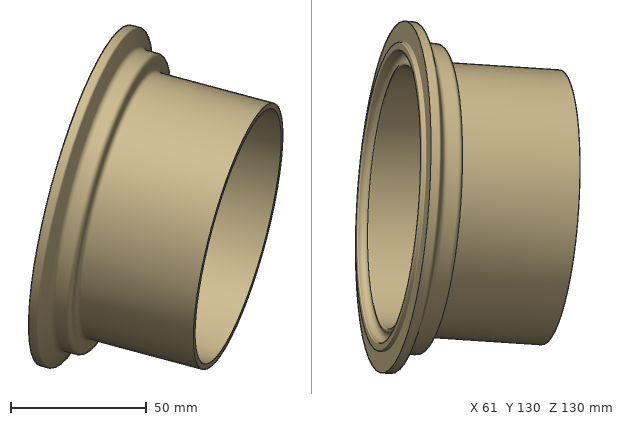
import cadquery as cq
import math


length = 61.0
flange_radius = 130.0 / 2
lip_radius = 114.2 / 2
collar_radius = 115.0 / 2
tube_radius = 101.6 / 2
bore_radius = 97.38 / 2

lip_height = 1.65
lip_rounding = 0.4
flange_shoulder_x = 5.4
flange_rounding = 0.8
cone_angle = math.radians(20)
cone_root_fillet = 2.0

collar_end_x = 15.5
collar_rounding = 1.6
tube_fillet = 1.5

groove_mouth_radius = 54.5
groove_radius = 2.5
mouth_rounding = 0.4
crest_x = 2.8
crest_rounding = 1.4
bore_rounding = 0.5


def tangent_circle_center(center_a, radius_a, center_b, radius_b, radius):
    """Center, on the -X side, of the circle that touches circles a and b from outside."""
    reach_a = radius_a + radius
    reach_b = radius_b + radius
    dx = center_b[0] - center_a[0]
    dr = center_b[1] - center_a[1]
    gap = math.hypot(dx, dr)
    along = (reach_a**2 - reach_b**2 + gap**2) / (2 * gap)
    across = math.sqrt(reach_a**2 - along**2)
    return (
        center_a[0] + (along * dx - across * dr) / gap,
        center_a[1] + (along * dr + across * dx) / gap,
    )


def point_toward(start, target, distance):
    """Point at a distance from start on the line to target."""
    span = math.dist(start, target)
    return tuple(s + (t - s) * distance / span for s, t in zip(start, target))


def arc_to(profile, center, radius, end):
    """Add the shorter arc about center from the profile's current point to end."""
    start = profile.val().endPoint()
    middle = ((start.x + end[0]) / 2, (start.y + end[1]) / 2)
    return profile.threePointArc(point_toward(center, middle, radius), end)


def add_flange(profile):
    """Lip, rim, back cone and collar, from the sealing face out to the tube."""
    lip_center = (lip_rounding, lip_radius - lip_rounding)
    profile = profile.moveTo(0, groove_mouth_radius).lineTo(0, lip_center[1])
    profile = arc_to(profile, lip_center, lip_rounding, (lip_rounding, lip_radius))

    root_center = (lip_height - lip_rounding, lip_radius + lip_rounding)
    profile = profile.lineTo(root_center[0], lip_radius)
    profile = arc_to(profile, root_center, lip_rounding, (lip_height, root_center[1]))

    setback = flange_rounding * math.tan((math.pi / 2 - cone_angle) / 2)
    rim_center = (flange_shoulder_x - setback, flange_radius - flange_rounding)
    normal = (math.cos(cone_angle), math.sin(cone_angle))
    rim_end = (
        rim_center[0] + flange_rounding * normal[0],
        rim_center[1] + flange_rounding * normal[1],
    )
    profile = profile.lineTo(lip_height, flange_radius).lineTo(rim_center[0], flange_radius)
    profile = arc_to(profile, rim_center, flange_rounding, rim_end)

    root_radius = collar_radius + cone_root_fillet
    cone_end_radius = root_radius - cone_root_fillet * normal[1]
    cone_end_x = rim_end[0] + (rim_end[1] - cone_end_radius) * math.tan(cone_angle)
    root_center = (cone_end_x + cone_root_fillet * normal[0], root_radius)
    profile = profile.lineTo(cone_end_x, cone_end_radius)
    profile = arc_to(profile, root_center, cone_root_fillet, (root_center[0], collar_radius))

    collar_center = (collar_end_x - collar_rounding, collar_radius - collar_rounding)
    profile = profile.lineTo(collar_center[0], collar_radius)
    profile = arc_to(profile, collar_center, collar_rounding, (collar_end_x, collar_center[1]))
    fillet_center = (collar_end_x + tube_fillet, tube_radius + tube_fillet)
    profile = profile.lineTo(collar_end_x, fillet_center[1])
    return arc_to(profile, fillet_center, tube_fillet, (fillet_center[0], tube_radius))


def add_tube(profile):
    """Plain tube outside, its end and the bore back to the crest."""
    profile = profile.lineTo(length, tube_radius).lineTo(length, bore_radius)
    return profile.lineTo(crest_x + bore_rounding, bore_radius)


def add_groove(profile):
    """Rounded crest, gasket groove and rounded groove mouth."""
    crest_radius = bore_radius + bore_rounding
    bore_center = (crest_x + bore_rounding, crest_radius)
    crest_center = (crest_x + crest_rounding, crest_radius)
    mouth_center = (mouth_rounding, groove_mouth_radius)
    groove_center = tangent_circle_center(
        crest_center, crest_rounding, mouth_center, mouth_rounding, groove_radius
    )
    groove_start = point_toward(crest_center, groove_center, crest_rounding)
    groove_end = point_toward(mouth_center, groove_center, mouth_rounding)
    profile = arc_to(profile, bore_center, bore_rounding, (crest_x, crest_radius))
    profile = arc_to(profile, crest_center, crest_rounding, groove_start)
    profile = arc_to(profile, groove_center, groove_radius, groove_end)
    return arc_to(profile, mouth_center, mouth_rounding, (0, groove_mouth_radius))


outline = add_groove(add_tube(add_flange(cq.Workplane("XY")))).close()
result = outline.revolve(360, (0, 0, 0), (1, 0, 0))